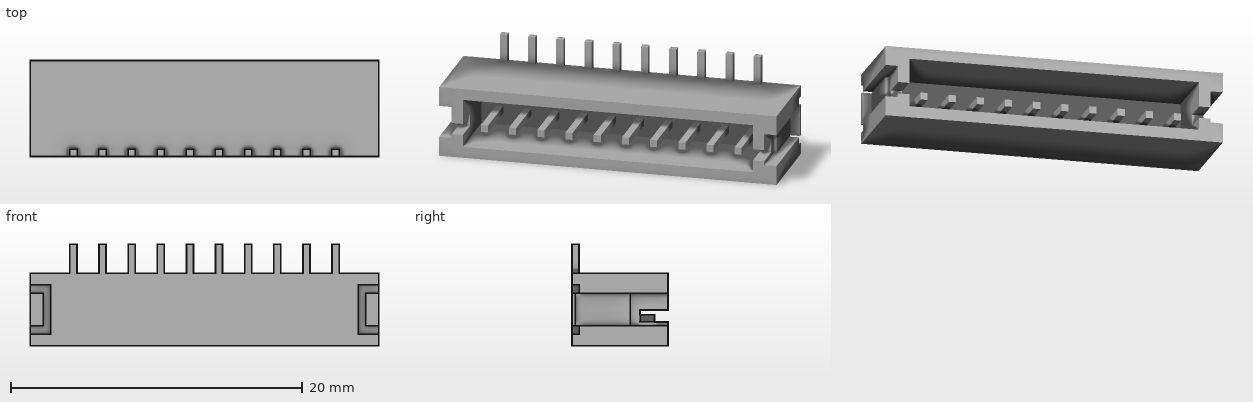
import cadquery as cq


length = 23.95
depth = 6.6
height = 5.0
mid_height = height / 2

groove_depth = 0.89
groove_height = 2.25

recess_depth = 1.41
recess_height = 3.4
recess_thickness = 0.5

wall = 0.8
front_wall = 1.5
cavity_length = length - 2 * (groove_depth + wall)
cavity_height = height - 2 * wall

notch_bottom = 1.65
notch_height = 0.81
notch_depth = 1.92

tab_thickness = 0.22
tab_length = 4.0

pin_count = 10
pin_row_length = 18.0
pin_pitch = pin_row_length / (pin_count - 1)
pin_size = 0.5
pin_rise = 1.99
pin_tip_setback = 0.93


def block(x_range, y_range, z_range):
    """Box given by its (low, high) limits along each axis."""
    x_low, x_high = x_range
    y_low, y_high = y_range
    z_low, z_high = z_range
    size = (x_high - x_low, y_high - y_low, z_high - z_low)
    return cq.Workplane("XY").box(*size, centered=False).translate((x_low, y_low, z_low))


def centred(size, middle=0.0):
    """Limits of a span of the given size about its middle."""
    return (middle - size / 2, middle + size / 2)


def both_ends(left_feature):
    """The left-hand feature together with its mirror image at the right-hand end."""
    return left_feature.union(left_feature.mirror("YZ"))


def make_housing():
    left = -length / 2
    full_depth = (0, depth)
    notch_z = (notch_bottom, notch_bottom + notch_height)

    body = block(centred(length), full_depth, (0, height))
    cavity = block(centred(cavity_length), (front_wall, depth), centred(cavity_height, mid_height))
    groove = block((left, left + groove_depth), full_depth, centred(groove_height, mid_height))
    recess = block((left, left + recess_depth), (0, recess_thickness), centred(recess_height, mid_height))
    notches = block(centred(length), (depth - notch_depth, depth), notch_z)
    return body.cut(cavity).cut(both_ends(groove.union(recess))).cut(notches)


def make_left_tab():
    outer = -length / 2
    inner = outer + groove_depth
    tab_z = centred(groove_height, mid_height)

    plate = block((inner - tab_thickness, inner), (0, tab_length), tab_z)
    flange = block((outer, inner), (0, tab_thickness), tab_z)
    return plate.union(flange)


def make_pin(x_middle):
    pin_x = centred(pin_size, x_middle)
    contact_z = (notch_bottom, notch_bottom + pin_size)

    leg = block(pin_x, (0, pin_size), (notch_bottom, height + pin_rise))
    contact = block(pin_x, (0, depth - pin_tip_setback), contact_z)
    return leg.union(contact)


result = make_housing().union(both_ends(make_left_tab()))
for index in range(pin_count):
    result = result.union(make_pin(index * pin_pitch - pin_row_length / 2))
result = result.clean()